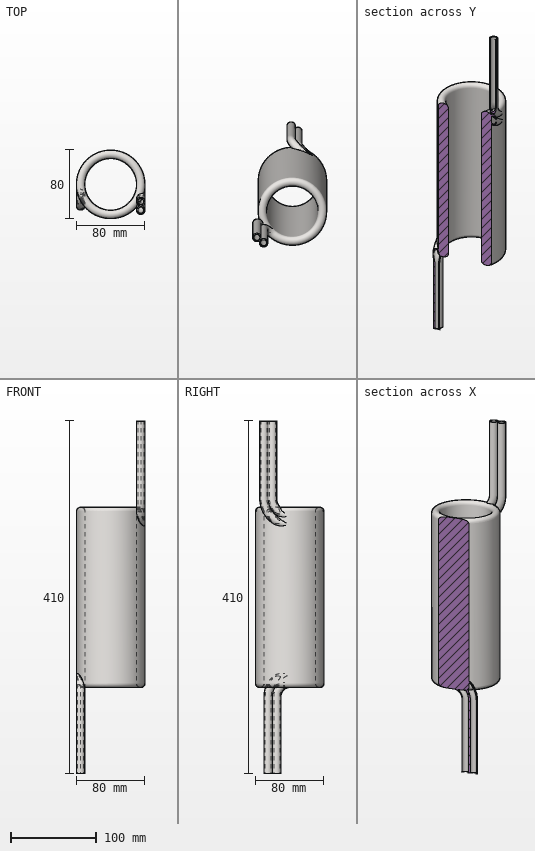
import cadquery as cq

body_outer_diameter = 80.0
body_inner_diameter = 60.0
body_height = 210.0

tube_outer_diameter = 10.0
tube_bore_diameter = 7.0
straight_length = 90.0
bend_clearance = 10.0

upper_bend_radii = (20.0, 30.0)
lower_bend_radii = (15.0, 25.0)

body_outer_radius = body_outer_diameter / 2
body_inner_radius = body_inner_diameter / 2
wall_thickness = body_outer_radius - body_inner_radius
wall_middle_radius = body_inner_radius + wall_thickness / 2
bend_center_height = body_height / 2 + bend_clearance


def make_body():
    """Hollow cylinder, centred on the origin, with half-round rims."""
    end_round = wall_thickness / 2
    shoulder_height = body_height / 2 - end_round
    return (
        cq.Workplane("XZ")
        .moveTo(body_inner_radius, -shoulder_height)
        .threePointArc((wall_middle_radius, -body_height / 2), (body_outer_radius, -shoulder_height))
        .lineTo(body_outer_radius, shoulder_height)
        .threePointArc((wall_middle_radius, body_height / 2), (body_inner_radius, shoulder_height))
        .close()
        .revolve(360, (0, 0, 0), (0, 1, 0))
    )


def make_rod(diameter, side, bend_radius):
    """Solid round rod along one tube: straight, then a quarter bend ending at Y = 0."""
    tube_x = side * wall_middle_radius
    straight = (
        cq.Workplane("XY", origin=(tube_x, -bend_radius, side * bend_center_height))
        .circle(diameter / 2)
        .extrude(side * straight_length)
    )
    bend = (
        cq.Workplane("XY", origin=(tube_x, -bend_radius, side * bend_center_height))
        .circle(diameter / 2)
        .revolve(90, (0, bend_radius, 0), (side, bend_radius, 0))
    )
    return straight.union(bend, clean=False)


def make_tube(side, bend_radius):
    """Bored tube; side is +1 for the upper pair at +X and -1 for the lower pair at -X."""
    outside = make_rod(tube_outer_diameter, side, bend_radius)
    bore = make_rod(tube_bore_diameter, side, bend_radius)
    return outside.cut(bore, clean=False)


result = make_body()
for upper_radius in upper_bend_radii:
    result = result.union(make_tube(1, upper_radius), clean=False)
for lower_radius in lower_bend_radii:
    result = result.union(make_tube(-1, lower_radius), clean=False)